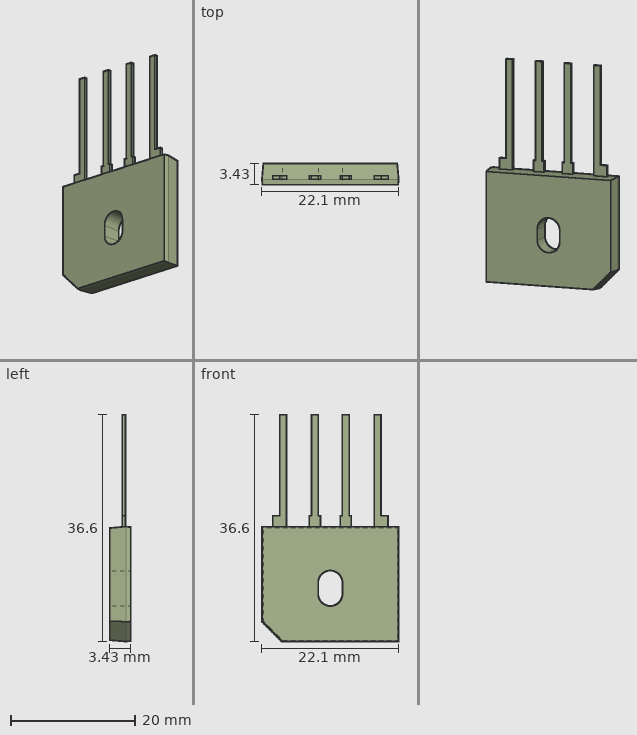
import cadquery as cq

BODY_WIDTH = 22.1
BODY_HEIGHT = 18.55
FRONT_DEPTH = 0.88
BACK_DEPTH = 2.55
DRAFT_ANGLE = 5.0
CORNER_CUT = 3.22

SLOT_WIDTH = 3.9
SLOT_LENGTH = 5.68
SLOT_CENTER_Z = 8.6

TOTAL_HEIGHT = 36.62
LEAD_WIDTH = 1.15
LEAD_THICKNESS = 0.55
FOOT_HEIGHT = 1.75
INNER_FOOT_WIDTH = 1.83
OUTER_FOOT_WIDTH = 2 * LEAD_WIDTH
INNER_LEAD_X = 2.5
OUTER_LEAD_X = 7.6
LEAD_EMBED = 1.1


def body_half(depth):
    """Half of the body, drafted away from the parting plane; positive depth runs to -Y."""
    half_width = BODY_WIDTH / 2
    outline = [
        (-half_width + CORNER_CUT, 0),
        (half_width, 0),
        (half_width, BODY_HEIGHT),
        (-half_width, BODY_HEIGHT),
        (-half_width, CORNER_CUT),
    ]
    return cq.Workplane("XZ").polyline(outline).close().extrude(depth, taper=DRAFT_ANGLE)


def strip(center_x, width, top_z):
    """Flat strip from inside the body up to top_z, its front on the parting plane."""
    bottom_z = BODY_HEIGHT - LEAD_EMBED
    return (
        cq.Workplane("XY")
        .box(width, LEAD_THICKNESS, top_z - bottom_z, centered=(True, False, False))
        .translate((center_x, 0, bottom_z))
    )


def lead(lead_x, foot_x, foot_width):
    foot = strip(foot_x, foot_width, BODY_HEIGHT + FOOT_HEIGHT)
    return strip(lead_x, LEAD_WIDTH, TOTAL_HEIGHT).union(foot)


body = body_half(FRONT_DEPTH).union(body_half(-BACK_DEPTH))

slot = (
    cq.Workplane("XZ", origin=(0, 0, SLOT_CENTER_Z))
    .slot2D(SLOT_LENGTH, SLOT_WIDTH, 90)
    .extrude(BODY_WIDTH, both=True)
)
result = body.cut(slot)

outer_foot_x = OUTER_LEAD_X + (OUTER_FOOT_WIDTH - LEAD_WIDTH) / 2
for side in (-1, 1):
    result = result.union(lead(side * OUTER_LEAD_X, side * outer_foot_x, OUTER_FOOT_WIDTH))
    result = result.union(lead(side * INNER_LEAD_X, side * INNER_LEAD_X, INNER_FOOT_WIDTH))